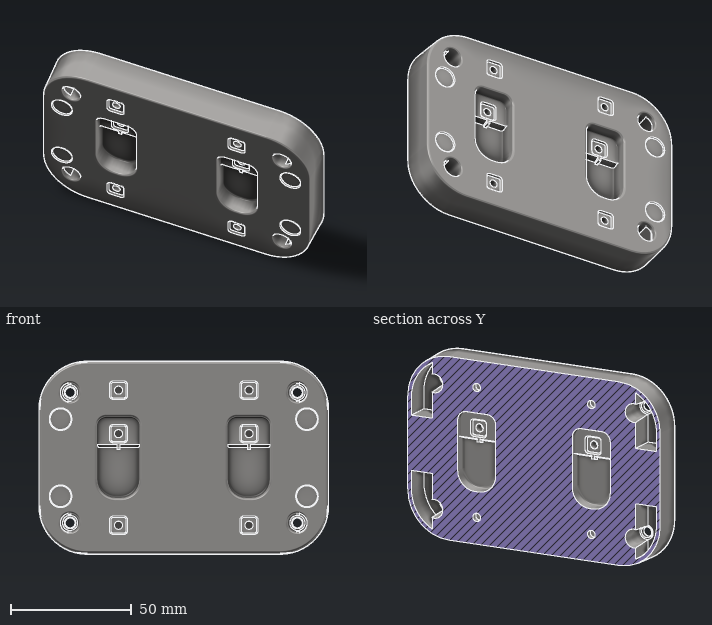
import cadquery as cq
import math

LENGTH = 120.0
HEIGHT = 80.0
DEPTH = 16.0
CORNER_RADIUS = 20.0
BODY_DRAFT = 2.0
FRONT_FILLET = 1.0

PAD_DEPTH = 1.0
PAD_INSET = 1.5

POCKET_SPACING = 54.0
POCKET_WIDTH = 20.0
POCKET_HEIGHT = 36.0
POCKET_TOP_RADIUS = 5.0
POCKET_BOTTOM_RADIUS = 9.0
POCKET_DEPTH = 7.5
POCKET_DRAFT = 4.0
POCKET_FILLET = 1.0
PLATFORM_DEPTH = 4.9
PLATFORM_EDGE_Z = 5.4
PLATFORM_FILLET = 0.5
STEP_RUN = 1.2
TAB_WIDTH = 1.3
TAB_END_Z = 3.4
TAB_RUN = 0.7

SEAT_SIZE = 7.5
SEAT_INSET = 0.6
SEAT_DEPTH = 0.8
SEAT_CORNER_RADIUS = 1.5
SEAT_HOLE_RADIUS = 1.7
SEAT_HOLE_DEPTH = 4.8
SEAT_ROW_Z = 28.0
PLATFORM_SEAT_Z = 10.0

SCREW_X = 47.0
SCREW_Z = 27.0
SCREW_RIM_RADIUS = 4.9
SCREW_RIM_FILLET = 0.7
SCREW_FLOOR_RADIUS = 3.1
SCREW_FLOOR_DEPTH = 14.4
SCREW_HOLE_RADIUS = 2.4
SCREW_EXIT_RADIUS = 2.0

RELIEF_START = 2.4
RELIEF_END = 13.9
RELIEF_INNER_X = 48.0
RELIEF_WALL = 2.4
RELIEF_INNER_Z = 12.0

RECESS_X = 51.0
RECESS_Z = 16.0
RECESS_RADIUS = 4.7
RECESS_FLOOR_RADIUS = 4.3
RECESS_DEPTH = 0.6

SIDES = (-1, 1)
POCKET_XS = [side * POCKET_SPACING / 2 for side in SIDES]


def plane_at(y):
    """Sketch plane at depth y: local x is X, local y is Z, extrusion runs towards the front."""
    return cq.Workplane(cq.Plane(origin=(0, y, 0), xDir=(1, 0, 0), normal=(0, -1, 0)))


def slab(length, height, radius, back_y, depth, draft=0.0):
    """Rounded rectangle from back_y towards the front, narrowing by the draft angle."""
    outline = cq.Sketch().rect(length, height).vertices().fillet(radius)
    return plane_at(back_y).placeSketch(outline).extrude(depth, taper=draft)


def turned(x, z, *profile):
    """Solid of revolution about an axis along Y from (radius, depth) points."""
    points = [(0, profile[0][1]), *profile, (0, profile[-1][1])]
    return cq.Workplane("XY").polyline(points).close().revolve(360, (0, 0), (0, 1)).translate((x, 0, z))


def body():
    main_depth = DEPTH - PAD_DEPTH
    main = slab(LENGTH, HEIGHT, CORNER_RADIUS, main_depth, main_depth, BODY_DRAFT)
    main = main.faces("<Y").edges().fillet(FRONT_FILLET)
    pad = slab(
        LENGTH - 2 * PAD_INSET, HEIGHT - 2 * PAD_INSET, CORNER_RADIUS - PAD_INSET, DEPTH, PAD_DEPTH
    )
    return main.union(pad)


def pocket_prism(depth):
    """Drafted pocket space from the front face down to a flat floor at the given depth."""
    inset = depth * math.tan(math.radians(POCKET_DRAFT)) + POCKET_FILLET
    half_width = POCKET_WIDTH / 2 - inset
    half_height = POCKET_HEIGHT / 2 - inset
    top_radius = POCKET_TOP_RADIUS - inset
    bottom_radius = POCKET_BOTTOM_RADIUS - inset
    outline = (
        cq.Sketch()
        .rect(2 * half_width, 2 * half_height)
        .vertices(">Y").fillet(top_radius)
        .reset().vertices("<Y").fillet(bottom_radius)
    )
    return plane_at(depth).placeSketch(outline).extrude(depth, taper=-POCKET_DRAFT)


def platform_block():
    """Everything above the step edge, with the sloped step face and a small central tab."""
    profile = [
        (0, POCKET_HEIGHT),
        (0, PLATFORM_EDGE_Z),
        (PLATFORM_DEPTH, PLATFORM_EDGE_Z),
        (POCKET_DEPTH, PLATFORM_EDGE_Z - STEP_RUN),
        (POCKET_DEPTH, POCKET_HEIGHT),
    ]
    step = cq.Workplane("YZ").polyline(profile).close().extrude(POCKET_WIDTH / 2, both=True)
    tab_profile = [
        (PLATFORM_DEPTH, PLATFORM_EDGE_Z),
        (PLATFORM_DEPTH, TAB_END_Z + TAB_RUN),
        (POCKET_DEPTH, TAB_END_Z),
        (POCKET_DEPTH, PLATFORM_EDGE_Z),
    ]
    tab = cq.Workplane("YZ").polyline(tab_profile).close().extrude(TAB_WIDTH / 2, both=True)
    return step.union(tab)


def pocket():
    """Space removed for one pocket, centred on X = 0."""
    lower = pocket_prism(POCKET_DEPTH).faces(">Y").edges().fillet(POCKET_FILLET)
    upper = pocket_prism(PLATFORM_DEPTH).faces(">Y").edges().fillet(PLATFORM_FILLET)
    return lower.cut(platform_block()).union(upper)


def seat(x, y, z):
    """Square seat with sloped walls and a blind hole, opening at depth y."""
    floor_size = SEAT_SIZE - 2 * SEAT_INSET
    slope = math.degrees(math.atan(SEAT_INSET / SEAT_DEPTH))
    outline = cq.Sketch().rect(floor_size, floor_size).vertices().fillet(SEAT_CORNER_RADIUS - SEAT_INSET)
    floor_y = y + SEAT_DEPTH
    recess = plane_at(floor_y).placeSketch(outline).extrude(SEAT_DEPTH, taper=-slope)
    hole = plane_at(floor_y + SEAT_HOLE_DEPTH).circle(SEAT_HOLE_RADIUS).extrude(SEAT_HOLE_DEPTH)
    return recess.union(hole).translate((x, 0, z))


def screw_hole(x, z):
    """Tapered counterbore followed by a slightly tapered through hole."""
    return turned(
        x,
        z,
        (SCREW_RIM_RADIUS - SCREW_RIM_FILLET, 0),
        (SCREW_FLOOR_RADIUS, SCREW_FLOOR_DEPTH),
        (SCREW_HOLE_RADIUS, SCREW_FLOOR_DEPTH),
        (SCREW_EXIT_RADIUS, DEPTH),
    )


def corner_relief(x_side, z_side):
    """Hidden undercut that opens the outer side of one counterbore towards the end wall."""
    relief_depth = RELIEF_END - RELIEF_START
    inside = slab(
        LENGTH - 2 * RELIEF_WALL,
        HEIGHT - 2 * RELIEF_WALL,
        CORNER_RADIUS - RELIEF_WALL,
        RELIEF_END,
        relief_depth,
    )
    width = LENGTH / 2 - RELIEF_INNER_X
    height = HEIGHT / 2 - RELIEF_INNER_Z
    window = (
        plane_at(RELIEF_END)
        .center(x_side * (RELIEF_INNER_X + width / 2), z_side * (RELIEF_INNER_Z + height / 2))
        .rect(width, height)
        .extrude(relief_depth)
    )
    return inside.intersect(window)


def round_recess(x, z):
    return turned(x, z, (RECESS_RADIUS, 0), (RECESS_FLOOR_RADIUS, RECESS_DEPTH))


def fillet_mouth(part, x, z, width, height, radius):
    """Round the front edges of the opening that lies inside a width by height window."""
    window = cq.selectors.BoxSelector(
        (x - width / 2, -1.2, z - height / 2), (x + width / 2, 1.2, z + height / 2)
    )
    return part.faces("<Y").edges(window).fillet(radius)


result = body()

for pocket_x in POCKET_XS:
    result = result.cut(pocket().translate((pocket_x, 0, 0)))
    result = fillet_mouth(result, pocket_x, 0, POCKET_WIDTH, POCKET_HEIGHT, POCKET_FILLET)

screw_window = 2 * SCREW_RIM_RADIUS
for x_side in SIDES:
    for z_side in SIDES:
        screw_x = x_side * SCREW_X
        screw_z = z_side * SCREW_Z
        result = result.cut(screw_hole(screw_x, screw_z))
        result = fillet_mouth(result, screw_x, screw_z, screw_window, screw_window, SCREW_RIM_FILLET)
        result = result.cut(corner_relief(x_side, z_side))
        result = result.cut(round_recess(x_side * RECESS_X, z_side * RECESS_Z))

for seat_x in POCKET_XS:
    result = result.cut(seat(seat_x, 0, SEAT_ROW_Z))
    result = result.cut(seat(seat_x, 0, -SEAT_ROW_Z))
    result = result.cut(seat(seat_x, PLATFORM_DEPTH, PLATFORM_SEAT_Z))